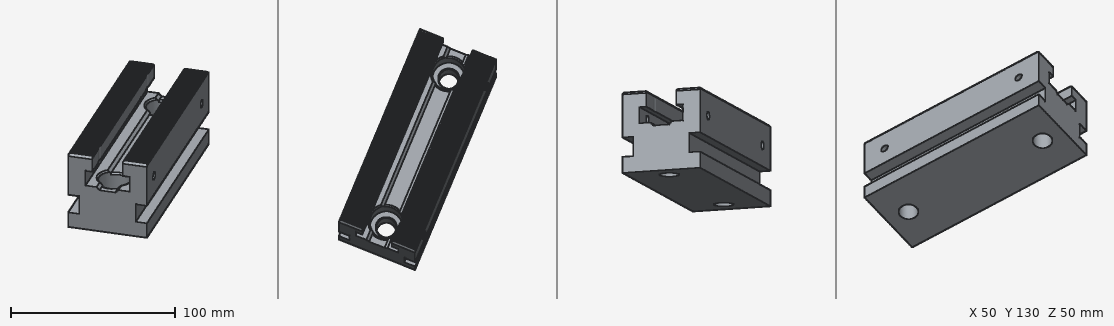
import cadquery as cq

length = 130
width = 50.0
height = 50.0

throat_width = 19.2
channel_width = 28.0
throat_bottom = 40.0
channel_floor = 30.0

relief_floor_width = 10.0
relief_depth = 2.0
relief_floor = channel_floor - relief_depth

side_slot_depth = 7.0
side_slot_bottom = 10.0
side_slot_top = 22.0

jaw_edge_chamfer = 0.8
jaw_end_chamfer = 1.5

serrated_length = 126.0
serration_count = 84
serration_pitch = serrated_length / serration_count
serration_depth = 0.5
serration_clearance = 1.3

hole_spacing = 100.0
hole_diameter = 12.0
hole_chamfer = 0.5
counterbore_diameter = 20.0
counterbore_depth = 16.0
counterbore_floor = channel_floor - counterbore_depth
counterbore_chamfer = 1.0
pin_hole_diameter = 5.0
pin_hole_height = 35.0

hole_positions = [-hole_spacing / 2, hole_spacing / 2]


def extrude_along_length(points):
    """Full-length prism, centred on Y, from an XZ outline."""
    return cq.Workplane("XZ").polyline(points).close().extrude(length / 2, both=True)


def extrude_across_width(points):
    """Full-width prism, centred on X, from a YZ outline."""
    return cq.Workplane("YZ").polyline(points).close().extrude(width / 2, both=True)


def make_profile_body():
    """Constant section with the side slots, T-shaped channel and relief groove."""
    outer = width / 2
    waist = outer - side_slot_depth
    channel = channel_width / 2
    throat = throat_width / 2
    relief = relief_floor_width / 2
    right_half = [
        (outer, 0),
        (outer, side_slot_bottom),
        (waist, side_slot_bottom),
        (waist, side_slot_top),
        (outer, side_slot_top),
        (outer, height - jaw_edge_chamfer),
        (outer - jaw_edge_chamfer, height),
        (throat + jaw_edge_chamfer, height),
        (throat, height - jaw_edge_chamfer),
        (throat, throat_bottom),
        (channel, throat_bottom),
        (channel, channel_floor),
        (relief + relief_depth, channel_floor),
        (relief, relief_floor),
    ]
    left_half = [(-x, z) for x, z in reversed(right_half)]
    return extrude_along_length(right_half + left_half)


def make_counterbores():
    """Counterbore cylinders, open upwards through the throat."""
    return (
        cq.Workplane("XY", origin=(0, 0, counterbore_floor))
        .pushPoints([(0, y) for y in hole_positions])
        .circle(counterbore_diameter / 2)
        .extrude(height)
    )


def make_mounting_holes():
    """Vertical through holes."""
    return (
        cq.Workplane("XY")
        .pushPoints([(0, y) for y in hole_positions])
        .circle(hole_diameter / 2)
        .extrude(height)
    )


def make_pin_holes():
    """Cross holes through both jaws, on the mounting hole axes."""
    return (
        cq.Workplane("YZ")
        .pushPoints([(y, pin_hole_height) for y in hole_positions])
        .circle(pin_hole_diameter / 2)
        .extrude(width / 2, both=True)
    )


def make_rim_cones(diameter, chamfer, rim_height):
    """Cones that chamfer round openings of the given diameter at both hole positions."""
    radius = diameter / 2
    cones = cq.Workplane("XY")
    for y in hole_positions:
        base = cq.Vector(0, y, rim_height - chamfer)
        cones = cones.add(cq.Solid.makeCone(radius, radius + chamfer, chamfer, pnt=base))
    return cones.combine()


def make_channel_rim_cones():
    return make_rim_cones(counterbore_diameter, counterbore_chamfer, channel_floor)


def make_relief_rim_cones():
    """Rim chamfers at the relief groove, kept within the width of its floor."""
    floor_strip = cq.Workplane("XY").box(relief_floor_width, length, 2 * height)
    cones = make_rim_cones(counterbore_diameter, counterbore_chamfer, relief_floor)
    return cones.intersect(floor_strip)


def make_hole_rim_cones():
    return make_rim_cones(hole_diameter, hole_chamfer, counterbore_floor)


def make_end_chamfer_cutters():
    """Prisms that chamfer the jaw tops at both ends."""
    end = length / 2
    cutters = cq.Workplane("XY")
    for side in (-1, 1):
        corner = [
            (side * end, height),
            (side * (end - jaw_end_chamfer), height),
            (side * end, height - jaw_end_chamfer),
        ]
        cutters = cutters.add(extrude_across_width(corner))
    return cutters.combine()


def make_serration_cutter():
    """One solid holding every 90 degree V groove, joined above the jaws."""
    start = -serrated_length / 2
    top = height + serration_clearance
    outline = [(start, top), (start, height)]
    for index in range(serration_count):
        valley = start + (index + 0.5) * serration_pitch
        outline.append((valley - serration_depth, height))
        outline.append((valley, height - serration_depth))
        outline.append((valley + serration_depth, height))
    outline += [(-start, height), (-start, top)]
    return extrude_across_width(outline)


result = make_profile_body()
for cutter in (
    make_counterbores(),
    make_channel_rim_cones(),
    make_relief_rim_cones(),
    make_mounting_holes(),
    make_hole_rim_cones(),
    make_pin_holes(),
    make_end_chamfer_cutters(),
    make_serration_cutter(),
):
    result = result.cut(cutter)